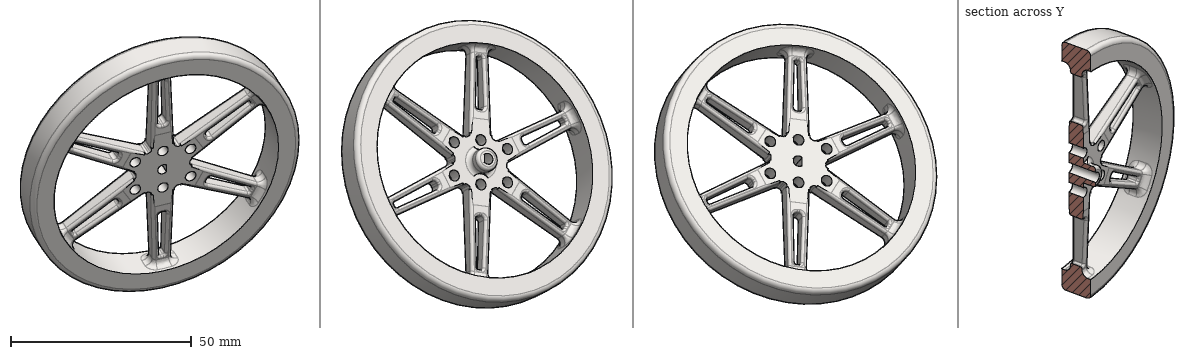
import cadquery as cq
import math

RIM_WIDTH = 10.0
RIM_OUTER_RADIUS = 40.0
RIM_INNER_RADIUS = 33.4
RIM_EDGE_FILLET = 1.5

SPOKE_COUNT = 6
SPOKE_ANGLE = 360.0 / SPOKE_COUNT
SPOKE_OVERLAP_IN_RIM = 0.8
SPOKE_END_RADIUS = RIM_INNER_RADIUS + SPOKE_OVERLAP_IN_RIM
SPOKE_HALF_WIDTH_AT_AXIS = 3.6
SPOKE_SIDE_SLOPE = 0.0293
SPOKE_FACE_SLOPE = 0.022
SPOKE_EDGE_FILLET = 0.85
SPOKE_RIM_FILLET = 1.9

HUB_HALF_THICKNESS = 2.5
HUB_FACE_RADIUS = 12.4
HEXAGON_APOTHEM = 8.0
VALLEY_RADIUS = 0.8

SLOT_INNER_END = 15.2
SLOT_OUTER_END = 30.45
SLOT_INNER_HALF_WIDTH = 1.34
SLOT_OUTER_HALF_WIDTH = 0.88
SLOT_END_HALF_FLAT = 0.35
SLOT_EDGE_FILLET = 0.8

BOSS_RADIUS = 3.3
BOSS_HEIGHT_ABOVE_RIM = 1.75
BOSS_EDGE_FILLET = 1.0
BOSS_ROOT_FILLET = 1.45
BORE_DIAMETER = 3.1
BORE_FLAT_OFFSET = 1.05

HOLE_DIAMETER = 3.1
NEAR_HOLE_CIRCLE_RADIUS = 6.35
FAR_HOLE_CIRCLE_RADIUS = 9.525
SCREW_HEAD_RADIUS = 3.05

SELECTION_MARGIN = 0.1
RADIUS_TOLERANCE = 0.001

RIM_FACE_X = -RIM_WIDTH / 2
BOSS_TIP_X = RIM_FACE_X - BOSS_HEIGHT_ABOVE_RIM
HUB_FACE_X = -HUB_HALF_THICKNESS


def spoke_half_width(radius):
    return SPOKE_HALF_WIDTH_AT_AXIS - SPOKE_SIDE_SLOPE * radius


def spoke_half_thickness(radius):
    return HUB_HALF_THICKNESS + SPOKE_FACE_SLOPE * (HUB_FACE_RADIUS - radius)


def polar_point(radius, angle):
    """Point (y, z) at an angle in degrees measured from +Z towards +Y."""
    return (radius * math.sin(math.radians(angle)), radius * math.cos(math.radians(angle)))


def distance_from_axis(point):
    return math.hypot(point.y, point.z)


def cylinder_along_x(radius, start_x, end_x, y=0.0, z=0.0):
    return cq.Workplane("YZ", origin=(start_x, y, z)).circle(radius).extrude(end_x - start_x)


def make_rim():
    rim = cylinder_along_x(RIM_OUTER_RADIUS, RIM_FACE_X, -RIM_FACE_X)
    rim = rim.edges().fillet(RIM_EDGE_FILLET)
    return rim.cut(cylinder_along_x(RIM_INNER_RADIUS, RIM_FACE_X, -RIM_FACE_X))


def tapered_profile(plane, half_size, depth):
    """Symmetric trapezoid from the axis out to the spoke end, extruded both ways."""
    inner = half_size(0)
    outer = half_size(SPOKE_END_RADIUS)
    outline = [(-inner, 0), (inner, 0), (outer, SPOKE_END_RADIUS), (-outer, SPOKE_END_RADIUS)]
    return cq.Workplane(plane).polyline(outline).close().extrude(depth, both=True)


def make_slot_cutter():
    inner_corner = SLOT_INNER_HALF_WIDTH - SLOT_END_HALF_FLAT
    outer_corner = SLOT_OUTER_HALF_WIDTH - SLOT_END_HALF_FLAT
    outline = [
        (-SLOT_INNER_HALF_WIDTH, SLOT_INNER_END),
        (SLOT_INNER_HALF_WIDTH, SLOT_INNER_END),
        (SLOT_OUTER_HALF_WIDTH, SLOT_OUTER_END),
        (-SLOT_OUTER_HALF_WIDTH, SLOT_OUTER_END),
    ]
    cutter = cq.Workplane("YZ").polyline(outline).close().extrude(RIM_WIDTH, both=True)
    cutter = cutter.faces("<Z").edges("|X").fillet(inner_corner)
    return cutter.faces(">Z").edges("|X").fillet(outer_corner)


def make_spoke():
    """The spoke that points along +Z, with its long edges and slot edges rounded."""
    in_plan = tapered_profile("YZ", spoke_half_width, RIM_WIDTH)
    in_thickness = tapered_profile("XZ", spoke_half_thickness, RIM_WIDTH)
    spoke = in_plan.intersect(in_thickness)
    spoke = spoke.edges("not(|X or |Y)").fillet(SPOKE_EDGE_FILLET)
    spoke = spoke.cut(make_slot_cutter())
    slot_region = cq.selectors.BoxSelector(
        (-RIM_WIDTH, -SLOT_INNER_HALF_WIDTH - SELECTION_MARGIN, SLOT_INNER_END - SELECTION_MARGIN),
        (RIM_WIDTH, SLOT_INNER_HALF_WIDTH + SELECTION_MARGIN, SLOT_OUTER_END + SELECTION_MARGIN),
    )
    return spoke.edges(slot_region).edges("not |X").fillet(SLOT_EDGE_FILLET)


def make_hub_plate():
    """Hexagonal plate with a stub at each spoke and rounded corners between them."""
    half_step = math.radians(SPOKE_ANGLE / 2)
    hexagon_slope = math.cos(half_step) - SPOKE_SIDE_SLOPE * math.sin(half_step)
    corner_height = (HEXAGON_APOTHEM - SPOKE_HALF_WIDTH_AT_AXIS * math.sin(half_step)) / hexagon_slope
    stub_end = corner_height + VALLEY_RADIUS
    corner_side = spoke_half_width(corner_height)
    end_side = spoke_half_width(stub_end)
    sector = [
        (-corner_side, corner_height),
        (-end_side, stub_end),
        (end_side, stub_end),
        (corner_side, corner_height),
    ]
    outline = []
    for index in range(SPOKE_COUNT):
        for y, z in sector:
            angle = math.degrees(math.atan2(y, z)) + index * SPOKE_ANGLE
            outline.append(polar_point(math.hypot(y, z), angle))
    plate = cq.Workplane("YZ").polyline(outline).close().extrude(HUB_HALF_THICKNESS, both=True)
    corner_limit = math.hypot(corner_side, (corner_height + stub_end) / 2)
    corners = [
        edge for edge in plate.edges("|X").vals()
        if distance_from_axis(edge.Center()) < corner_limit
    ]
    return plate.newObject(corners).fillet(VALLEY_RADIUS)


def make_web():
    """Hub plate and spokes, trimmed to the flat hub faces and the spoke end circle."""
    spoke = make_spoke()
    web = make_hub_plate()
    for index in range(SPOKE_COUNT):
        web = web.union(spoke.rotate((0, 0, 0), (1, 0, 0), index * SPOKE_ANGLE))
    slab = cylinder_along_x(RIM_OUTER_RADIUS, HUB_FACE_X, -HUB_FACE_X)
    return web.intersect(slab)


def join_web_to_rim(web, rim):
    """Union of web and rim with the spoke roots blended into the rim's inner wall."""
    wheel = web.union(rim)
    root_edges = [
        edge for edge in wheel.edges().vals()
        if abs(distance_from_axis(edge.positionAt(0.5)) - RIM_INNER_RADIUS) < RADIUS_TOLERANCE
        and abs(edge.Center().x) < HUB_HALF_THICKNESS + SELECTION_MARGIN
    ]
    return wheel.newObject(root_edges).fillet(SPOKE_RIM_FILLET)


def make_boss():
    """Boss with a rounded tip and a concave root, revolved around the X axis."""
    root_start_x = HUB_FACE_X - BOSS_ROOT_FILLET
    arc_midpoint_inset = 1 - math.cos(math.radians(45))
    root_offset = BOSS_ROOT_FILLET * arc_midpoint_inset
    tip_offset = BOSS_EDGE_FILLET * arc_midpoint_inset
    profile = (
        cq.Workplane("XY")
        .moveTo(0, 0)
        .lineTo(BOSS_TIP_X, 0)
        .lineTo(BOSS_TIP_X, BOSS_RADIUS - BOSS_EDGE_FILLET)
        .threePointArc(
            (BOSS_TIP_X + tip_offset, BOSS_RADIUS - tip_offset),
            (BOSS_TIP_X + BOSS_EDGE_FILLET, BOSS_RADIUS),
        )
        .lineTo(root_start_x, BOSS_RADIUS)
        .threePointArc(
            (HUB_FACE_X - root_offset, BOSS_RADIUS + root_offset),
            (HUB_FACE_X, BOSS_RADIUS + BOSS_ROOT_FILLET),
        )
        .lineTo(0, BOSS_RADIUS + BOSS_ROOT_FILLET)
        .close()
    )
    boss = profile.revolve(360, (0, 0, 0), (1, 0, 0))
    for z in (-NEAR_HOLE_CIRCLE_RADIUS, NEAR_HOLE_CIRCLE_RADIUS):
        boss = boss.cut(cylinder_along_x(SCREW_HEAD_RADIUS, BOSS_TIP_X, HUB_FACE_X, z=z))
    return boss


def make_bore():
    """D-shaped through bore with its flat on the +Y side."""
    bore = cylinder_along_x(BORE_DIAMETER / 2, BOSS_TIP_X, HUB_HALF_THICKNESS)
    length = 2 * abs(BOSS_TIP_X)
    flat_limit = cq.Workplane("XY").box(length, BORE_DIAMETER, BORE_DIAMETER)
    return bore.intersect(flat_limit.translate((0, BORE_FLAT_OFFSET - BORE_DIAMETER / 2, 0)))


def make_screw_holes():
    holes = cq.Workplane("YZ")
    for index in range(SPOKE_COUNT):
        on_z_axis = index % (SPOKE_COUNT // 2) == 0
        radius = NEAR_HOLE_CIRCLE_RADIUS if on_z_axis else FAR_HOLE_CIRCLE_RADIUS
        y, z = polar_point(radius, index * SPOKE_ANGLE)
        holes = holes.union(cylinder_along_x(HOLE_DIAMETER / 2, -RIM_WIDTH, RIM_WIDTH, y, z))
    return holes


wheel = join_web_to_rim(make_web(), make_rim())
result = wheel.union(make_boss()).cut(make_bore()).cut(make_screw_holes())